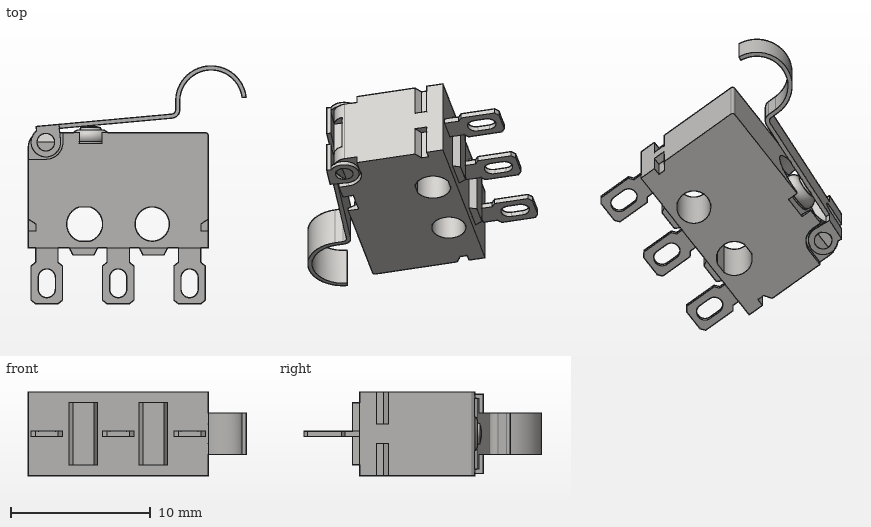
import cadquery as cq
import math


HOUSING_LENGTH = 12.86
HOUSING_HEIGHT = 8.22
HOUSING_THICKNESS = 6.0
HALF_THICKNESS = HOUSING_THICKNESS / 2
HINGE_END_RADIUS = 1.0
FREE_END_RADIUS = 0.2

HOLE_Y = 1.7
ROUND_HOLE_X = 8.85
ROUND_HOLE_DIAMETER = 2.43
FLATTED_HOLE_X = 4.03
FLATTED_HOLE_DIAMETER = 2.55

NOTCH_DEPTH = 0.55
NOTCH_BOTTOM = 1.19
NOTCH_INNER_TOP = 1.7
NOTCH_OUTER_TOP = 2.05
NOTCH_WEB = 1.41

RIB_X = (3.95, 8.94)
RIB_BASE_WIDTH = 2.04
RIB_TIP_WIDTH = 1.5
RIB_HEIGHT = 0.53
RIB_LENGTH = 4.43

TERMINAL_FIRST_X = 1.33
TERMINAL_PITCH = 5.1
TERMINAL_COUNT = 3
TERMINAL_LENGTH = 4.0
TERMINAL_THICKNESS = 0.39
TERMINAL_WIDTH = 2.26
TERMINAL_NECK_WIDTH = 1.61
TERMINAL_NECK_LENGTH = 1.04
TERMINAL_CORNER_HEIGHT = 0.25
TERMINAL_SLOT_WIDTH = 1.2
TERMINAL_SLOT_LENGTH = 2.04
TERMINAL_SLOT_Y = -2.53

PIVOT_X = 1.25
PIVOT_Y = 7.55
HINGE_POCKET_RADIUS = 1.22
HINGE_POCKET_DEPTH = 0.53
PIN_RADIUS = 0.63
PIN_SLOPE_DROP = 0.32

RELIEF_DEPTH = 0.66
RELIEF_BOTTOM = 7.4
RELIEF_WIDTH = 2.65

PLUNGER_X = 4.45
CHAMBER_FLOOR = 7.46
CHAMBER_TOP_RADIUS = 2.89
CHAMBER_FLOOR_RADIUS = 2.62
WINDOW_WIDTH = 1.61

PLUNGER_BASE_RADIUS = 1.3
PLUNGER_BASE_TOP = 7.58
PLUNGER_BULGE_RADIUS = 1.24
PLUNGER_BULGE_Y = 8.2
PLUNGER_SHOULDER_RADIUS = 0.88
PLUNGER_SHOULDER_Y = 8.43
PLUNGER_NECK_RADIUS = 0.78
PLUNGER_CROWN_RADIUS = 0.71
PLUNGER_CROWN_Y = 8.58
PLUNGER_TOP = 8.7

LEVER_ANGLE = 5.2
SHEET_THICKNESS = 0.3
SHEET_OFFSET = 1.04
PLATE_START = -0.6
PLATE_WIDTH = 5.67
ARM_WIDTH = 2.99
EAR_RADIUS = 1.05
EAR_THICKNESS = 0.3
PLATE_SLOT_WIDTH = 1.0
PLATE_SLOT_END = 1.45
BEND_RADIUS = 0.46
HOOK_X = 13.05
HOOK_Y = 10.47
HOOK_OUTER_RADIUS = 2.53
HOOK_TIP_ANGLE = 6.5

EAR_OUTER_Z = PLATE_WIDTH / 2


def prism(sketch, z_low, z_high):
    """Extrude a closed XY outline from z_low to z_high."""
    return sketch.extrude(z_high - z_low).translate((0, 0, z_low))


def box(x_range, y_range, z_range):
    """Box given by its limits on the three axes."""
    corner = (x_range[0], y_range[0], z_range[0])
    size = (x_range[1] - x_range[0], y_range[1] - y_range[0], z_range[1] - z_range[0])
    return cq.Workplane("XY").box(*size, centered=False).translate(corner)


def mirrored_pair(shape):
    """The shape together with its mirror image across mid-thickness."""
    return shape.union(shape.mirror("XY"))


def make_block():
    block = box((0, HOUSING_LENGTH), (0, HOUSING_HEIGHT), (-HALF_THICKNESS, HALF_THICKNESS))
    block = block.edges("|Z and >Y and <X").fillet(HINGE_END_RADIUS)
    return block.edges("|Z and >Y and >X").fillet(FREE_END_RADIUS)


def make_mounting_holes():
    """A round hole, and a wider one cut flat to the round hole's height."""
    height = HOUSING_THICKNESS
    round_hole = cq.Workplane("XY").center(ROUND_HOLE_X, HOLE_Y).circle(ROUND_HOLE_DIAMETER / 2)
    round_hole = round_hole.extrude(height / 2, both=True)
    wide_hole = cq.Workplane("XY").center(FLATTED_HOLE_X, HOLE_Y).circle(FLATTED_HOLE_DIAMETER / 2)
    wide_hole = wide_hole.extrude(height / 2, both=True)
    band = cq.Workplane("XY").box(FLATTED_HOLE_DIAMETER, ROUND_HOLE_DIAMETER, height)
    wide_hole = wide_hole.intersect(band.translate((FLATTED_HOLE_X, HOLE_Y, 0)))
    return round_hole.union(wide_hole)


def make_latch_notches():
    """Hooked notches in both ends, leaving a web at mid-thickness."""
    outline = cq.Workplane("XY").polyline([
        (0, NOTCH_BOTTOM),
        (NOTCH_DEPTH, NOTCH_BOTTOM),
        (NOTCH_DEPTH, NOTCH_INNER_TOP),
        (0, NOTCH_OUTER_TOP),
    ]).close()
    left = mirrored_pair(prism(outline, NOTCH_WEB / 2, HALF_THICKNESS))
    right = left.mirror("YZ").translate((HOUSING_LENGTH, 0, 0))
    return left.union(right)


def make_rib(x):
    outline = cq.Workplane("XY").polyline([
        (x - RIB_BASE_WIDTH / 2, 0),
        (x + RIB_BASE_WIDTH / 2, 0),
        (x + RIB_TIP_WIDTH / 2, -RIB_HEIGHT),
        (x - RIB_TIP_WIDTH / 2, -RIB_HEIGHT),
    ]).close()
    return prism(outline, -RIB_LENGTH / 2, RIB_LENGTH / 2)


def make_terminal(x):
    half_width = TERMINAL_WIDTH / 2
    half_neck = TERMINAL_NECK_WIDTH / 2
    right_side = [
        (half_neck, 0),
        (half_neck, -TERMINAL_NECK_LENGTH),
        (half_width, -TERMINAL_NECK_LENGTH - TERMINAL_CORNER_HEIGHT),
        (half_width, -TERMINAL_LENGTH + TERMINAL_CORNER_HEIGHT),
        (half_neck, -TERMINAL_LENGTH),
    ]
    left_side = [(-side, y) for side, y in reversed(right_side)]
    half_thickness = TERMINAL_THICKNESS / 2
    outline = cq.Workplane("XY").polyline(right_side + left_side).close()
    blade = prism(outline, -half_thickness, half_thickness)
    slot = cq.Workplane("XY").center(0, TERMINAL_SLOT_Y)
    slot = slot.slot2D(TERMINAL_SLOT_LENGTH, TERMINAL_SLOT_WIDTH, 90)
    blade = blade.cut(prism(slot, -half_thickness, half_thickness))
    return blade.translate((x, 0, 0))


def make_hinge_pockets():
    """Corner recesses in both faces that take the lever's ears."""
    floor = HALF_THICKNESS - HINGE_POCKET_DEPTH
    outline = (
        cq.Workplane("XY")
        .moveTo(0, HOUSING_HEIGHT)
        .lineTo(0, PIVOT_Y - HINGE_POCKET_RADIUS)
        .lineTo(PIVOT_X, PIVOT_Y - HINGE_POCKET_RADIUS)
        .tangentArcPoint((PIVOT_X + HINGE_POCKET_RADIUS, PIVOT_Y), relative=False)
        .lineTo(PIVOT_X + HINGE_POCKET_RADIUS, HOUSING_HEIGHT)
        .close()
    )
    return mirrored_pair(prism(outline, floor, HALF_THICKNESS))


def make_hinge_pins():
    """Pins on the pocket floors, sloped on the lever side so the ears snap over them."""
    floor = HALF_THICKNESS - HINGE_POCKET_DEPTH
    pin = prism(cq.Workplane("XY").center(PIVOT_X, PIVOT_Y).circle(PIN_RADIUS), floor, EAR_OUTER_Z)
    wedge = (
        cq.Workplane("YZ")
        .polyline([
            (PIVOT_Y, EAR_OUTER_Z),
            (PIVOT_Y + PIN_RADIUS, EAR_OUTER_Z),
            (PIVOT_Y + PIN_RADIUS, EAR_OUTER_Z - PIN_SLOPE_DROP),
        ])
        .close()
        .extrude(PIN_RADIUS, both=True)
        .translate((PIVOT_X, 0, 0))
    )
    return mirrored_pair(pin.cut(wedge))


def make_end_relief():
    half_width = RELIEF_WIDTH / 2
    return box((0, RELIEF_DEPTH), (RELIEF_BOTTOM, HOUSING_HEIGHT), (-half_width, half_width))


def make_plunger_chamber():
    """Tapered round chamber open at the top, with a window through each face."""
    chamber = (
        cq.Workplane("XY")
        .polyline([
            (0, CHAMBER_FLOOR),
            (CHAMBER_FLOOR_RADIUS, CHAMBER_FLOOR),
            (CHAMBER_TOP_RADIUS, HOUSING_HEIGHT),
            (0, HOUSING_HEIGHT),
        ])
        .close()
        .revolve(360, (0, 0, 0), (0, 1, 0))
        .translate((PLUNGER_X, 0, 0))
    )
    window = box(
        (PLUNGER_X - WINDOW_WIDTH / 2, PLUNGER_X + WINDOW_WIDTH / 2),
        (CHAMBER_FLOOR, HOUSING_HEIGHT),
        (-HALF_THICKNESS, HALF_THICKNESS),
    )
    return chamber.union(window)


def make_housing():
    housing = make_block()
    for cutter in (
        make_mounting_holes(),
        make_latch_notches(),
        make_hinge_pockets(),
        make_end_relief(),
        make_plunger_chamber(),
    ):
        housing = housing.cut(cutter)
    housing = housing.union(make_hinge_pins())
    for x in RIB_X:
        housing = housing.union(make_rib(x))
    for index in range(TERMINAL_COUNT):
        housing = housing.union(make_terminal(TERMINAL_FIRST_X + index * TERMINAL_PITCH))
    return housing


def make_plunger():
    """Round button with a bulging body, a stepped neck and a domed crown under the lever."""
    crown_height = PLUNGER_TOP - PLUNGER_CROWN_Y
    crown_sphere_radius = (PLUNGER_CROWN_RADIUS**2 + crown_height**2) / (2 * crown_height)
    profile = (
        cq.Workplane("ZY")
        .moveTo(0, CHAMBER_FLOOR)
        .lineTo(PLUNGER_BASE_RADIUS, CHAMBER_FLOOR)
        .lineTo(PLUNGER_BASE_RADIUS, PLUNGER_BASE_TOP)
        .threePointArc(
            (PLUNGER_BULGE_RADIUS, PLUNGER_BULGE_Y),
            (PLUNGER_SHOULDER_RADIUS, PLUNGER_SHOULDER_Y),
        )
        .lineTo(PLUNGER_NECK_RADIUS, PLUNGER_SHOULDER_Y)
        .lineTo(PLUNGER_CROWN_RADIUS, PLUNGER_CROWN_Y)
        .radiusArc((0, PLUNGER_TOP), -crown_sphere_radius)
        .close()
    )
    return profile.revolve(360, (0, 0, 0), (0, 1, 0)).translate((PLUNGER_X, 0, 0))


def tilted(shape):
    """Move a shape drawn around the pivot, with a level sheet, to its tilted place."""
    return shape.rotate((0, 0, 0), (0, 0, 1), LEVER_ANGLE).translate((PIVOT_X, PIVOT_Y, 0))


def sheet_point(along):
    """Point on the sheet's middle line, at a distance along it from the pivot."""
    angle = math.radians(LEVER_ANGLE)
    return (
        PIVOT_X + along * math.cos(angle) - SHEET_OFFSET * math.sin(angle),
        PIVOT_Y + along * math.sin(angle) + SHEET_OFFSET * math.cos(angle),
    )


def make_arm():
    """Sheet strip that runs along the tilted line, bends upright and ends in a round hook."""
    angle = math.radians(LEVER_ANGLE)
    hook_radius = HOOK_OUTER_RADIUS - SHEET_THICKNESS / 2
    upright_x = HOOK_X - hook_radius
    bend_x = upright_x - BEND_RADIUS
    bend_along = (bend_x - PIVOT_X + (SHEET_OFFSET + BEND_RADIUS) * math.sin(angle)) / math.cos(angle)
    bend_start = sheet_point(bend_along)
    bend_end_y = bend_start[1] + BEND_RADIUS * math.cos(angle)
    tip_angle = math.radians(HOOK_TIP_ANGLE)
    hook_tip = (HOOK_X + hook_radius * math.cos(tip_angle), HOOK_Y + hook_radius * math.sin(tip_angle))
    middle_line = (
        cq.Workplane("XY")
        .moveTo(*sheet_point(EAR_RADIUS))
        .lineTo(*bend_start)
        .tangentArcPoint((upright_x, bend_end_y), relative=False)
        .lineTo(upright_x, HOOK_Y)
        .threePointArc((HOOK_X, HOOK_Y + hook_radius), hook_tip)
    )
    start = cq.Plane(
        origin=(*sheet_point(EAR_RADIUS), 0),
        xDir=(0, 0, 1),
        normal=(math.cos(angle), math.sin(angle), 0),
    )
    return cq.Workplane(start).rect(ARM_WIDTH, SHEET_THICKNESS).sweep(middle_line)


def make_plate():
    """Wide end of the sheet, between the ears."""
    sheet_range = (SHEET_OFFSET - SHEET_THICKNESS / 2, SHEET_OFFSET + SHEET_THICKNESS / 2)
    return tilted(box((PLATE_START, EAR_RADIUS), sheet_range, (-EAR_OUTER_Z, EAR_OUTER_Z)))


def make_ears():
    """Round hinge ears bent down from the plate, bored for the pins."""
    inner_z = EAR_OUTER_Z - EAR_THICKNESS
    ear = prism(cq.Workplane("XY").circle(EAR_RADIUS), inner_z, EAR_OUTER_Z)
    ear = ear.union(box((PLATE_START, EAR_RADIUS), (0, SHEET_OFFSET), (inner_z, EAR_OUTER_Z)))
    ear = ear.cut(prism(cq.Workplane("XY").circle(PIN_RADIUS), inner_z, EAR_OUTER_Z))
    return mirrored_pair(tilted(ear))


def make_plate_slot():
    """Round-ended slot that enters the sheet from its hinge end."""
    half_width = PLATE_SLOT_WIDTH / 2
    bottom = SHEET_OFFSET - SHEET_THICKNESS
    top = SHEET_OFFSET + SHEET_THICKNESS
    round_x = PLATE_SLOT_END - half_width
    straight = box((PLATE_START, round_x), (bottom, top), (-half_width, half_width))
    round_end = cq.Workplane("XZ").center(round_x, 0).circle(half_width).extrude(bottom - top)
    round_end = round_end.translate((0, bottom, 0))
    return tilted(straight.union(round_end))


def make_lever():
    return make_arm().union(make_plate()).union(make_ears()).cut(make_plate_slot())


housing = make_housing()
plunger = make_plunger()
lever = make_lever()

result = cq.Compound.makeCompound([body.solids().val() for body in (housing, plunger, lever)])